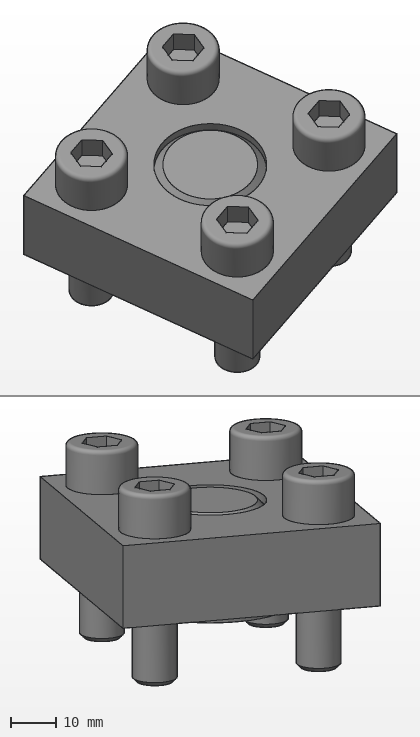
import cadquery as cq
import math

plate_side = 60.0
plate_height = 19.0
spigot_diameter = 38.0
spigot_height = 4.0

groove_outer_diameter = 25.0
island_top_diameter = 21.0
groove_depth = (groove_outer_diameter - island_top_diameter) / 2

screw_circle_diameter = 54.0
screw_spacing = screw_circle_diameter / math.sqrt(2)
head_diameter = 16.0
head_height = 10.0
head_edge_radius = 1.0
shank_diameter = 10.0
shank_length = 15.95
shank_chamfer = 1.0
socket_across_flats = 8.0
socket_depth = 5.0


def make_plate():
    """Square plate resting on z = 0, with the spigot below and the ring groove on top."""
    plate = cq.Workplane("XY").rect(plate_side, plate_side).extrude(plate_height)
    spigot = cq.Workplane("XY").circle(spigot_diameter / 2).extrude(-spigot_height)
    groove = (
        cq.Workplane("XZ")
        .moveTo(island_top_diameter / 2, plate_height)
        .lineTo(groove_outer_diameter / 2, plate_height)
        .lineTo(groove_outer_diameter / 2, plate_height - groove_depth)
        .close()
        .revolve(360, (0, 0, 0), (0, 1, 0))
    )
    return plate.union(spigot).cut(groove)


def make_screw():
    """Screw on the Z axis, with its head seated on the top of the plate."""
    shank = (
        cq.Workplane("XY", origin=(0, 0, -shank_length))
        .circle(shank_diameter / 2)
        .extrude(shank_length + plate_height)
        .faces("<Z")
        .chamfer(shank_chamfer)
    )
    head = (
        cq.Workplane("XY", origin=(0, 0, plate_height))
        .circle(head_diameter / 2)
        .extrude(head_height)
        .faces(">Z")
        .edges()
        .fillet(head_edge_radius)
    )
    socket = (
        cq.Workplane("XY", origin=(0, 0, plate_height + head_height))
        .polygon(6, socket_across_flats, circumscribed=True)
        .extrude(-socket_depth)
    )
    return shank.union(head).cut(socket)


result = make_plate()
screw = make_screw()
for x in (-screw_spacing / 2, screw_spacing / 2):
    for y in (-screw_spacing / 2, screw_spacing / 2):
        result = result.union(screw.translate((x, y, 0)))